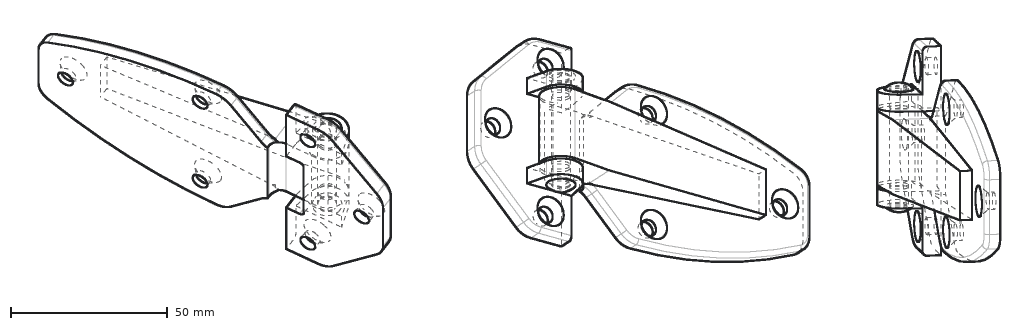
import cadquery as cq
import math


pin_height = 12.0
knuckle_radius = 7.0
pin_diameter = 6.0
screw_diameter = 5.5
countersink_diameter = 10.0
countersink_depth = 3.0
corner_radius = 8.0
edge_radius = 1.5

strap_thickness = 5.0
strap_end_x = -100.0
strap_half_height = 28.0
strap_crest_x = -34.2
strap_bow_radius = 149.0
strap_end_radius = 6.0
strap_root_x = -15.0
knuckle_half_width = 12.1
neck_fillet_radius = 4.0
neck_end_x = strap_root_x + neck_fillet_radius
strap_screws = [(-90.0, 0.0), (-40.0, 20.0), (-40.0, -20.0)]

rib_tip_x = -80.0
rib_tip_height = 9.0
rib_tip_half_width = 8.0

plate_thickness = 6.0
plate_left_x = -8.0
plate_right_x = 27.97
plate_half_height = 34.0
plate_slope_sum = 41.0
slot_half_width = 13.0
slot_end_x = -1.5
slot_corner_radius = 1.5
plate_screws = [(20.0, 0.0), (0.0, 26.0), (0.0, -26.0)]

lug_outer_z = 18.5
lug_foot_right_x = 9.0
knuckle_clearance = 0.2

head_diameter = 9.4
head_height = 2.0
head_base_z = 19.0


def extrude_in_y(outline, depth):
    """Extrude an XZ outline from the mounting face towards +Y."""
    return outline.extrude(-depth)


def extrude_between(outline, z_low, z_high):
    """Extrude an XY outline from z_low to z_high."""
    return outline.extrude(z_high - z_low).translate((0, 0, z_low))


def drill_screw_holes(leaf, centres, thickness):
    """Drill through the leaf and countersink it on the side away from the mounting face."""
    drill_radius = screw_diameter / 2
    sink_radius = countersink_diameter / 2
    sink_start = thickness - countersink_depth
    for x, z in centres:
        drill = cq.Solid.makeCylinder(drill_radius, thickness, cq.Vector(x, 0, z), cq.Vector(0, 1, 0))
        sink = cq.Solid.makeCone(
            drill_radius, sink_radius, countersink_depth, cq.Vector(x, sink_start, z), cq.Vector(0, 1, 0)
        )
        leaf = leaf.cut(cq.Workplane(drill)).cut(cq.Workplane(sink))
    return leaf


def pin_cylinder(diameter, half_length):
    circle = cq.Workplane("XY").center(0, pin_height).circle(diameter / 2)
    return extrude_between(circle, -half_length, half_length)


def tangent_point(x, y, side):
    """Touch point on the knuckle circle of the tangent from (x, y).

    side = 1 takes the touch point counterclockwise of the direction to (x, y), -1 the other one.
    """
    distance = math.hypot(x, y - pin_height)
    angle = math.atan2(y - pin_height, x) + side * math.acos(knuckle_radius / distance)
    return knuckle_radius * math.cos(angle), pin_height + knuckle_radius * math.sin(angle)


def bow_height(x):
    """Half height of the strap along its bowed side."""
    drop = strap_bow_radius - math.sqrt(strap_bow_radius**2 - (x - strap_crest_x) ** 2)
    return strap_half_height - drop


def make_strap_plate():
    end_z = bow_height(strap_end_x)
    bow_middle_x = (strap_end_x + strap_crest_x) / 2
    bow_middle_z = bow_height(bow_middle_x)
    shoulder_centre_z = strap_half_height - corner_radius
    shoulder_middle_x = strap_crest_x + corner_radius * math.sin(math.pi / 8)
    shoulder_middle_z = shoulder_centre_z + corner_radius * math.cos(math.pi / 8)
    slope_x = strap_crest_x + corner_radius * math.sin(math.pi / 4)
    slope_z = shoulder_centre_z + corner_radius * math.cos(math.pi / 4)
    neck_corner_x = slope_x + slope_z - knuckle_half_width
    plate = extrude_in_y(
        cq.Workplane("XZ")
        .moveTo(strap_end_x, -end_z)
        .lineTo(strap_end_x, end_z)
        .threePointArc((bow_middle_x, bow_middle_z), (strap_crest_x, strap_half_height))
        .threePointArc((shoulder_middle_x, shoulder_middle_z), (slope_x, slope_z))
        .lineTo(neck_corner_x, knuckle_half_width)
        .lineTo(neck_end_x, knuckle_half_width)
        .lineTo(neck_end_x, -knuckle_half_width)
        .lineTo(neck_corner_x, -knuckle_half_width)
        .lineTo(slope_x, -slope_z)
        .threePointArc((shoulder_middle_x, -shoulder_middle_z), (strap_crest_x, -strap_half_height))
        .threePointArc((bow_middle_x, -bow_middle_z), (strap_end_x, -end_z))
        .close(),
        strap_thickness,
    )
    end_corners = cq.selectors.BoxSelector(
        (strap_end_x - 1, -1, -end_z - 1), (strap_end_x + 1, strap_thickness + 1, end_z + 1)
    )
    plate = plate.edges("|Y").edges(end_corners).fillet(strap_end_radius)
    neck_corners = cq.selectors.BoxSelector(
        (neck_corner_x - 1, -1, -slope_z), (neck_corner_x + 1, strap_thickness + 1, slope_z)
    )
    plate = plate.edges("|Y").edges(neck_corners).fillet(corner_radius)
    return plate.faces(">Y").edges("not >X").fillet(edge_radius)


def make_rib():
    """Wedge from the strap to the knuckle, tapered in both height and width."""
    crest_x, crest_y = tangent_point(rib_tip_x, rib_tip_height, -1)
    side_profile = (
        cq.Workplane("XY")
        .moveTo(rib_tip_x, strap_thickness)
        .lineTo(rib_tip_x, rib_tip_height)
        .lineTo(crest_x, crest_y)
        .threePointArc((knuckle_radius, pin_height), (0, strap_thickness))
        .close()
    )
    rib = extrude_between(side_profile, -knuckle_half_width, knuckle_half_width)
    plan = (
        cq.Workplane("XZ")
        .moveTo(rib_tip_x, -rib_tip_half_width)
        .lineTo(rib_tip_x, rib_tip_half_width)
        .lineTo(strap_root_x, knuckle_half_width)
        .lineTo(knuckle_radius, knuckle_half_width)
        .lineTo(knuckle_radius, -knuckle_half_width)
        .lineTo(strap_root_x, -knuckle_half_width)
        .close()
    )
    return rib.intersect(extrude_in_y(plan, pin_height + knuckle_radius))


def make_neck():
    """Square-edged block between the strap and the knuckle."""
    neck = cq.Workplane("XZ").center((strap_root_x + neck_end_x) / 2, 0)
    return extrude_in_y(neck.rect(neck_end_x - strap_root_x, 2 * knuckle_half_width), strap_thickness)


def make_undercut():
    """Space under the neck, leaving a concave round between the strap end and the knuckle arm."""
    arc_start_y = strap_thickness - neck_fillet_radius
    arc_middle_x = neck_end_x - neck_fillet_radius * math.cos(math.pi / 4)
    arc_middle_y = arc_start_y + neck_fillet_radius * math.sin(math.pi / 4)
    profile = (
        cq.Workplane("XY")
        .moveTo(strap_root_x, 0)
        .lineTo(strap_root_x, arc_start_y)
        .threePointArc((arc_middle_x, arc_middle_y), (neck_end_x, strap_thickness))
        .lineTo(neck_end_x, 0)
        .close()
    )
    return extrude_between(profile, -strap_half_height, strap_half_height)


def make_strap_leaf():
    leaf = make_strap_plate().union(make_neck()).cut(make_undercut()).union(make_rib())
    leaf = drill_screw_holes(leaf, strap_screws, strap_thickness)
    return leaf.cut(pin_cylinder(pin_diameter, knuckle_half_width))


def make_fixed_plate():
    slope_top_x = plate_slope_sum - plate_half_height
    slope_bottom_z = plate_slope_sum - plate_right_x
    plate = extrude_in_y(
        cq.Workplane("XZ")
        .moveTo(plate_left_x, -plate_half_height)
        .lineTo(plate_left_x, plate_half_height)
        .lineTo(slope_top_x, plate_half_height)
        .lineTo(plate_right_x, slope_bottom_z)
        .lineTo(plate_right_x, -slope_bottom_z)
        .lineTo(slope_top_x, -plate_half_height)
        .close(),
        plate_thickness,
    )
    plate = plate.edges("|Y").edges("not <X").fillet(corner_radius)
    return plate.faces(">Y").edges("not <X").fillet(edge_radius)


def make_lug(z_low):
    left_x, left_y = tangent_point(plate_left_x, plate_thickness, -1)
    right_x, right_y = tangent_point(lug_foot_right_x, plate_thickness, 1)
    profile = (
        cq.Workplane("XY")
        .moveTo(plate_left_x, plate_thickness)
        .lineTo(left_x, left_y)
        .threePointArc((0, pin_height + knuckle_radius), (right_x, right_y))
        .lineTo(lug_foot_right_x, plate_thickness)
        .close()
    )
    return extrude_between(profile, z_low, z_low + lug_outer_z - slot_half_width)


def make_knuckle_slot():
    """Notch in the fixed plate that clears the strap neck and the round of its knuckle."""
    slot_length = slot_end_x - plate_left_x
    slot_centre_x = (slot_end_x + plate_left_x) / 2
    slot = cq.Workplane("XZ").center(slot_centre_x, 0).rect(slot_length, 2 * slot_half_width)
    slot = extrude_in_y(slot, plate_thickness)
    slot = slot.edges("|Y and >X").fillet(slot_corner_radius)
    return slot.union(pin_cylinder(2 * (knuckle_radius + knuckle_clearance), slot_half_width))


def make_fixed_leaf():
    leaf = make_fixed_plate()
    for z_low in (slot_half_width, -lug_outer_z):
        leaf = leaf.union(make_lug(z_low))
    leaf = leaf.cut(make_knuckle_slot())
    leaf = drill_screw_holes(leaf, plate_screws, plate_thickness)
    return leaf.cut(pin_cylinder(pin_diameter, lug_outer_z))


def make_pin():
    """Shaft with a domed head on each end, turned about the pin axis."""
    head_radius = head_diameter / 2
    dome_radius = (head_radius**2 + head_height**2) / (2 * head_height)
    tip_z = head_base_z + head_height
    dome_middle_x = head_radius / 2
    dome_middle_z = tip_z - dome_radius + math.sqrt(dome_radius**2 - dome_middle_x**2)
    profile = (
        cq.Workplane("XZ")
        .moveTo(0, -tip_z)
        .threePointArc((dome_middle_x, -dome_middle_z), (head_radius, -head_base_z))
        .lineTo(pin_diameter / 2, -head_base_z)
        .lineTo(pin_diameter / 2, head_base_z)
        .lineTo(head_radius, head_base_z)
        .threePointArc((dome_middle_x, dome_middle_z), (0, tip_z))
        .close()
    )
    return profile.revolve(360, (0, 0, 0), (0, 1, 0)).translate((0, pin_height, 0))


strap_leaf = make_strap_leaf()
fixed_leaf = make_fixed_leaf()
pin = make_pin()

bodies = [strap_leaf, fixed_leaf, pin]
result = cq.Compound.makeCompound([body.solids().val() for body in bodies])